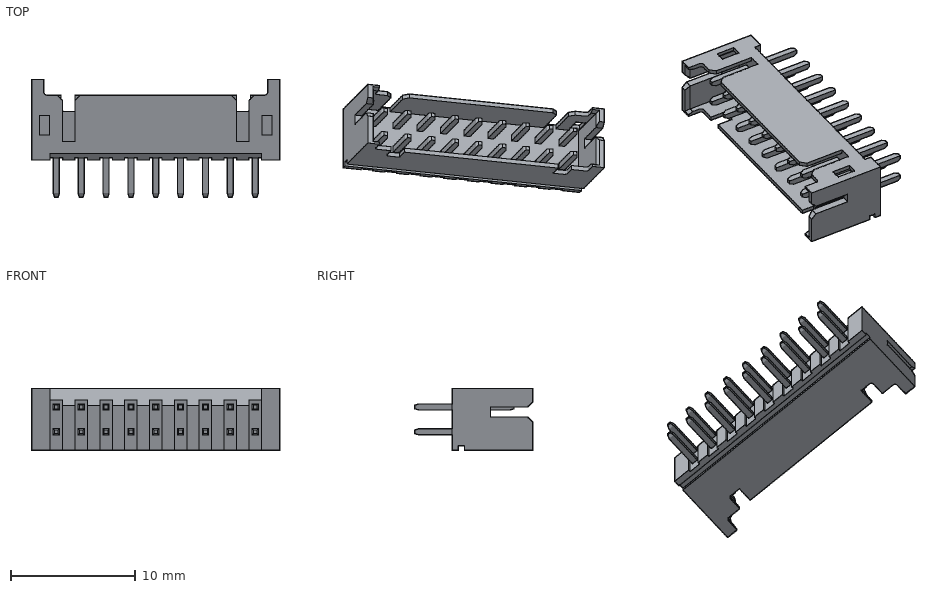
import cadquery as cq


LENGTH = 20.0
HEIGHT = 5.0
DEPTH = 6.5
PLATE_DEPTH = 5.25
EAR_WIDTH = 1.0
EAR_FILLET = 0.25
SHELL = 0.35
END_WALL = 0.6
BACK_WALL = 1.5
MOUTH_LENGTH = 0.4
MOUTH_FLARE = 0.18

COLUMNS = 9
PITCH = 2.0
ROW_HEIGHTS = (1.5, 3.5)
PIN_SIZE = 0.5
PIN_TIP_SIZE = 0.3
PIN_TIP_LENGTH = 0.32
PIN_START = -3.0
PIN_END = 5.0

FACE_SPAN = 17.0
SLOPE_BOTTOM = 3.6
SLOPE_DEPTH = 0.55
GROOVE_WIDTH = 1.0
GROOVE_DEPTH = 0.18

TONGUE_WIDTH = 13.0
TOP_SLOT_WIDTH = 1.0
TOP_SLOT_START = BACK_WALL
TOP_SLOT_CHAMFER = 0.45
BOTTOM_SLOT_WIDTH = 1.12
BOTTOM_SLOT_START = 3.92
BOTTOM_SLOT_FILLET = 0.25

SIDE_SLOT_BOTTOM = 2.7
SIDE_SLOT_TOP = 3.48
SIDE_SLOT_START = 3.1
SIDE_SLOT_CHAMFER = 0.4
WINDOW_INSET = 0.05
WINDOW_WIDTH = 0.8
WINDOW_START = 2.05
WINDOW_LENGTH = 1.55
UNDERSIDE_GROOVE_START = 0.52
UNDERSIDE_GROOVE_WIDTH = 0.48
UNDERSIDE_GROOVE_DEPTH = 0.35

SIDES = (-1, 1)
HALF_LENGTH = LENGTH / 2
HALF_TONGUE = TONGUE_WIDTH / 2
COLUMN_XS = [(i - (COLUMNS - 1) / 2) * PITCH for i in range(COLUMNS)]


def box(x_range, y_range, z_range):
    """Box between the given limits, which may come in either order."""
    lows = [min(r) for r in (x_range, y_range, z_range)]
    sizes = [abs(r[1] - r[0]) for r in (x_range, y_range, z_range)]
    return cq.Workplane("XY").box(*sizes, centered=False).translate(tuple(lows))


def plan_prism(points, bottom, top):
    """Outline in X and Y, extruded from one height to another."""
    return cq.Workplane("XY", origin=(0, 0, bottom)).polyline(points).close().extrude(top - bottom)


def side_prism(points, width):
    """Outline in Y and Z, extruded along X about the middle of the part."""
    return cq.Workplane("YZ").polyline(points).close().extrude(width / 2, both=True)


def housing_block():
    """Solid block with an ear at each end of its open side."""
    block = box((-HALF_LENGTH, HALF_LENGTH), (0, DEPTH), (0, HEIGHT))
    ear_inside = HALF_LENGTH - EAR_WIDTH
    gap = box((-ear_inside, ear_inside), (PLATE_DEPTH, DEPTH), (0, HEIGHT))
    return block.cut(gap.edges("|Z and <Y").fillet(EAR_FILLET))


def cavity():
    """Space inside the shroud, widening evenly at its mouth."""
    width = LENGTH - 2 * END_WALL
    height = HEIGHT - 2 * SHELL
    inside = box((-width / 2, width / 2), (BACK_WALL, DEPTH), (SHELL, SHELL + height))
    mouth_plane = cq.Plane(
        origin=(0, DEPTH - MOUTH_LENGTH, HEIGHT / 2), xDir=(1, 0, 0), normal=(0, 1, 0)
    )
    mouth = (
        cq.Workplane(mouth_plane)
        .rect(width, height)
        .workplane(offset=MOUTH_LENGTH)
        .rect(width + 2 * MOUTH_FLARE, height + 2 * MOUTH_FLARE)
        .loft(ruled=True)
    )
    return inside.union(mouth)


def slope_relief():
    """Wedge taken off the upper edge of the pin-side face."""
    return side_prism([(0, SLOPE_BOTTOM), (SLOPE_DEPTH, HEIGHT), (0, HEIGHT)], FACE_SPAN)


def groove(x):
    """Groove around one column of pins, ending where its floor meets the slope."""
    top = SLOPE_BOTTOM + (HEIGHT - SLOPE_BOTTOM) * GROOVE_DEPTH / SLOPE_DEPTH
    return box((x - GROOVE_WIDTH / 2, x + GROOVE_WIDTH / 2), (0, GROOVE_DEPTH), (0, top))


def top_slot(side):
    """Slot in the top plate whose mouth flares at 45 degrees."""
    inner = HALF_TONGUE
    outer = HALF_TONGUE + TOP_SLOT_WIDTH
    flare_start = PLATE_DEPTH - TOP_SLOT_CHAMFER
    outline = [
        (side * inner, TOP_SLOT_START),
        (side * outer, TOP_SLOT_START),
        (side * outer, flare_start),
        (side * (outer + TOP_SLOT_CHAMFER), PLATE_DEPTH),
        (side * (inner - TOP_SLOT_CHAMFER), PLATE_DEPTH),
        (side * inner, flare_start),
    ]
    return plan_prism(outline, HEIGHT - SHELL, HEIGHT)


def bottom_slot(side):
    """Shorter slot in the bottom plate with its outer inside corner rounded."""
    inner = side * HALF_TONGUE
    outer = side * (HALF_TONGUE + BOTTOM_SLOT_WIDTH)
    slot = box((inner, outer), (BOTTOM_SLOT_START, PLATE_DEPTH), (0, SHELL))
    outer_corner = "|Z and <Y and >X" if side > 0 else "|Z and <Y and <X"
    return slot.edges(outer_corner).fillet(BOTTOM_SLOT_FILLET)


def side_slots():
    """Slot with a flared mouth through both end walls."""
    flare_start = DEPTH - SIDE_SLOT_CHAMFER
    outline = [
        (SIDE_SLOT_START, SIDE_SLOT_BOTTOM),
        (flare_start, SIDE_SLOT_BOTTOM),
        (DEPTH, SIDE_SLOT_BOTTOM - SIDE_SLOT_CHAMFER),
        (DEPTH, SIDE_SLOT_TOP + SIDE_SLOT_CHAMFER),
        (flare_start, SIDE_SLOT_TOP),
        (SIDE_SLOT_START, SIDE_SLOT_TOP),
    ]
    return side_prism(outline, LENGTH)


def window(side):
    """Rectangular opening through the top plate, close to the end wall."""
    outer = HALF_LENGTH - END_WALL - WINDOW_INSET
    return box(
        (side * (outer - WINDOW_WIDTH), side * outer),
        (WINDOW_START, WINDOW_START + WINDOW_LENGTH),
        (HEIGHT - SHELL, HEIGHT),
    )


def underside_groove():
    """Shallow groove along the whole underside, just behind the pin-side face."""
    return box(
        (-HALF_LENGTH, HALF_LENGTH),
        (UNDERSIDE_GROOVE_START, UNDERSIDE_GROOVE_START + UNDERSIDE_GROOVE_WIDTH),
        (0, UNDERSIDE_GROOVE_DEPTH),
    )


def pin_tip(y, direction):
    """Tapered pin end that starts at y and narrows along +Y (1) or -Y (-1)."""
    plane = cq.Plane(origin=(0, y, 0), xDir=(1, 0, 0), normal=(0, direction, 0))
    base = cq.Workplane(plane).rect(PIN_SIZE, PIN_SIZE)
    return base.workplane(offset=PIN_TIP_LENGTH).rect(PIN_TIP_SIZE, PIN_TIP_SIZE).loft(ruled=True)


def pin():
    """Square pin along Y with both ends tapered."""
    half = PIN_SIZE / 2
    shank_start = PIN_START + PIN_TIP_LENGTH
    shank_end = PIN_END - PIN_TIP_LENGTH
    shank = box((-half, half), (shank_start, shank_end), (-half, half))
    return shank.union(pin_tip(shank_start, -1)).union(pin_tip(shank_end, 1))


result = housing_block().cut(cavity()).cut(slope_relief()).cut(side_slots()).cut(underside_groove())

for side in SIDES:
    result = result.cut(top_slot(side)).cut(bottom_slot(side)).cut(window(side))

for x in COLUMN_XS:
    result = result.cut(groove(x))

contact = pin()
for x in COLUMN_XS:
    for z in ROW_HEIGHTS:
        result = result.union(contact.translate((x, 0, z)))